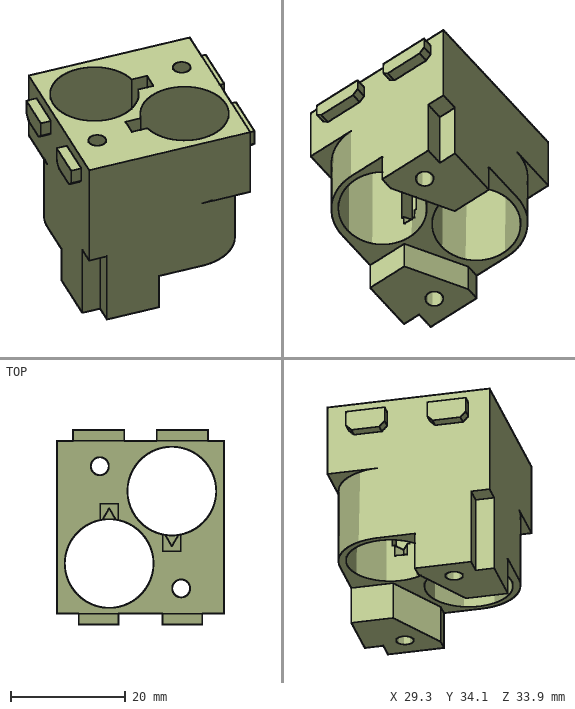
import cadquery as cq
import math

BODY_X = 29.3
BODY_Y = 30.28
BODY_Z = 33.9
HALF_X = BODY_X / 2
HALF_Y = BODY_Y / 2

BORE_DIAMETER = 15.5
BORE_X = -5.5
BORE_Y = -6.35
KEY_WIDTH = 3.1
KEY_REACH = 10.5
KEY_DEPTH = 19.95
GROOVE_TIP_REACH = 9.7
GROOVE_TIP_ANGLE = 60
GROOVE_DEPTH = 2.0

PIN_HOLE_DIAMETER = 3.1
PIN_HOLE_X = -7.13
PIN_HOLE_Y = 10.7

FOOT_HEIGHT = 6.9
FOOT_INNER_X = -1.15
FOOT_INNER_Y = 2.0
FOOT_BEND_X = -7.1
FOOT_BEND_Y = 12.72

ROUND_RADIUS = 9.0
ROUND_TOP = 20.7
NOTCH_X = 3.35
NOTCH_Y = 3.35
NOTCH_TOP = 13.95

TAB_PROJECTION = 1.9
TAB_HEIGHT = 3.7
TAB_TOP = 31.58
TAB_CHAMFER = 1.0
TAB_X = 7.33
FRONT_TAB_WIDTH = 7.0
BACK_TAB_WIDTH = 9.0


def both_ends(shape):
    """Return the shape together with its copy turned half a turn about Z."""
    return shape.union(shape.rotate((0, 0, 0), (0, 0, 1), 180))


def corner_box(size_x, size_y, height, sign_y):
    """Box from z = 0 filling the block's corner at -X and the given Y side."""
    center_x = -HALF_X + size_x / 2
    center_y = sign_y * (HALF_Y - size_y / 2)
    return cq.Workplane("XY").center(center_x, center_y).rect(size_x, size_y).extrude(height)


def rounded_corner_waste():
    """Material outside the quarter round below the -X, -Y corner."""
    waste = corner_box(ROUND_RADIUS, ROUND_RADIUS, ROUND_TOP, -1)
    round_post = (
        cq.Workplane("XY")
        .center(-HALF_X + ROUND_RADIUS, -HALF_Y + ROUND_RADIUS)
        .circle(ROUND_RADIUS)
        .extrude(ROUND_TOP)
    )
    return waste.cut(round_post)


def foot():
    """Pentagonal foot at the -X, +Y corner."""
    outline = [
        (-HALF_X, HALF_Y),
        (-HALF_X, FOOT_INNER_Y),
        (FOOT_BEND_X, FOOT_INNER_Y),
        (FOOT_INNER_X, FOOT_BEND_Y),
        (FOOT_INNER_X, HALF_Y),
    ]
    return cq.Workplane("XY").polyline(outline).close().extrude(FOOT_HEIGHT)


def keyed_bore():
    """Through bore with its key slot toward +Y and the groove in the slot floor."""
    bore = cq.Workplane("XY").center(BORE_X, BORE_Y).circle(BORE_DIAMETER / 2).extrude(BODY_Z)
    key = (
        cq.Workplane("XY", origin=(BORE_X, BORE_Y, BODY_Z))
        .center(0, KEY_REACH / 2)
        .rect(KEY_WIDTH, KEY_REACH)
        .extrude(-KEY_DEPTH)
    )
    base_reach = math.sqrt(BORE_DIAMETER**2 - KEY_WIDTH**2) / 2
    half_base = (GROOVE_TIP_REACH - base_reach) * math.tan(math.radians(GROOVE_TIP_ANGLE / 2))
    groove = (
        cq.Workplane("XY", origin=(BORE_X, BORE_Y, BODY_Z - KEY_DEPTH))
        .polyline([(-half_base, base_reach), (half_base, base_reach), (0, GROOVE_TIP_REACH)])
        .close()
        .extrude(-GROOVE_DEPTH)
    )
    return bore.union(key).union(groove)


def pin_hole():
    """Small through hole near the -X, +Y corner."""
    return cq.Workplane("XY").center(PIN_HOLE_X, PIN_HOLE_Y).circle(PIN_HOLE_DIAMETER / 2).extrude(BODY_Z)


def tab(center_x, width, side):
    """Tab with chamfered lower corners on the -Y (side = -1) or +Y (side = 1) face."""
    return (
        cq.Workplane("XY")
        .box(width, TAB_PROJECTION, TAB_HEIGHT)
        .edges("|Y and <Z")
        .chamfer(TAB_CHAMFER)
        .translate((center_x, side * (HALF_Y + TAB_PROJECTION / 2), TAB_TOP - TAB_HEIGHT / 2))
    )


block = (
    cq.Workplane("XY", origin=(0, 0, FOOT_HEIGHT))
    .rect(BODY_X, BODY_Y)
    .extrude(BODY_Z - FOOT_HEIGHT)
    .union(both_ends(foot()))
)

for waste in (
    rounded_corner_waste(),
    corner_box(NOTCH_X, NOTCH_Y, NOTCH_TOP, 1),
    keyed_bore(),
    pin_hole(),
):
    block = block.cut(both_ends(waste))

for tab_x in (-TAB_X, TAB_X):
    block = block.union(tab(tab_x, FRONT_TAB_WIDTH, -1))
    block = block.union(tab(tab_x, BACK_TAB_WIDTH, 1))

result = block